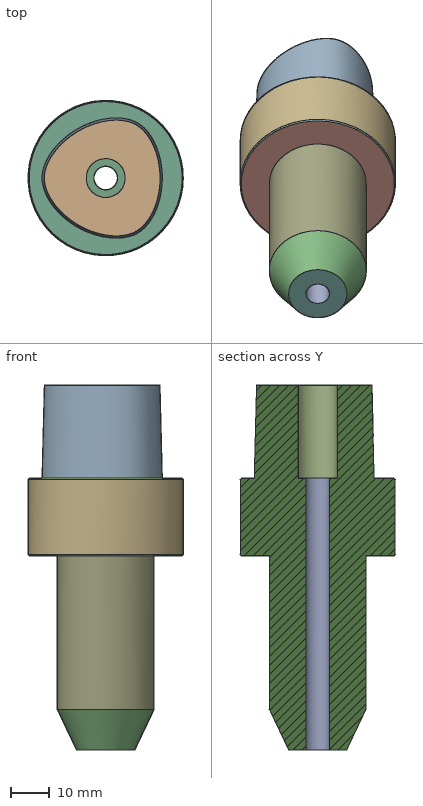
import cadquery as cq
import math

flange_diameter = 40.0
flange_height = 20.0
flange_chamfer = 0.3

polygon_height = 24.0
polygon_base_width = 31.0
polygon_taper = 1 / 20
polygon_top_width = polygon_base_width - polygon_taper * polygon_height
lobe_eccentricity = 0.9
polygon_curve_points = 48

shank_diameter = 25.0
shank_length = 39.5
tip_diameter = 15.0
tip_length = 10.5

through_bore_diameter = 6.0
upper_bore_diameter = 10.0
upper_bore_depth = polygon_height

flange_bottom = -flange_height
shank_bottom = flange_bottom - shank_length
tip_bottom = shank_bottom - tip_length


def polygon_point(width, angle):
    """Point of the constant-width, three-lobed curve whose normal has the given angle."""
    support = width / 2 - lobe_eccentricity * math.cos(3 * angle)
    support_slope = 3 * lobe_eccentricity * math.sin(3 * angle)
    x = support * math.cos(angle) - support_slope * math.sin(angle)
    y = support * math.sin(angle) + support_slope * math.cos(angle)
    return x, y


def polygon_wire(width, z):
    """Closed lobed outline of the given width at height z."""
    step = 2 * math.pi / polygon_curve_points
    points = []
    for index in range(polygon_curve_points):
        x, y = polygon_point(width, math.pi + index * step)
        points.append(cq.Vector(x, y, z))
    return cq.Wire.assembleEdges([cq.Edge.makeSpline(points, periodic=True)])


def make_polygon():
    base = polygon_wire(polygon_base_width, 0)
    top = polygon_wire(polygon_top_width, polygon_height)
    return cq.Workplane(cq.Solid.makeLoft([base, top], True))


def make_flange():
    return (
        cq.Workplane("XY")
        .workplane(offset=flange_bottom)
        .circle(flange_diameter / 2)
        .extrude(flange_height)
        .edges("%CIRCLE")
        .chamfer(flange_chamfer)
    )


def make_shank():
    return (
        cq.Workplane("XZ")
        .moveTo(0, flange_bottom)
        .lineTo(shank_diameter / 2, flange_bottom)
        .lineTo(shank_diameter / 2, shank_bottom)
        .lineTo(tip_diameter / 2, tip_bottom)
        .lineTo(0, tip_bottom)
        .close()
        .revolve(360, (0, 0), (0, 1))
    )


def make_bore(diameter, bottom):
    """Cylinder from the given height up to the end face of the polygon."""
    return (
        cq.Workplane("XY")
        .workplane(offset=bottom)
        .circle(diameter / 2)
        .extrude(polygon_height - bottom)
    )


body = make_flange().union(make_polygon()).union(make_shank())
through_bore = make_bore(through_bore_diameter, tip_bottom)
upper_bore = make_bore(upper_bore_diameter, polygon_height - upper_bore_depth)

result = body.cut(through_bore).cut(upper_bore)